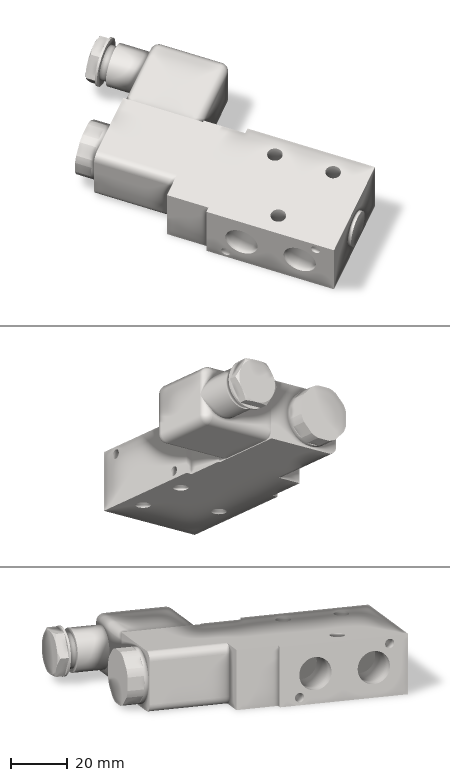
import cadquery as cq
import math


knob_face_x = 11.4
grip_flat_end_x = 17.5
coil_start_x = 19.2
adapter_start_x = 49.1
block_start_x = 64.8
block_end_x = 112.7
end_boss_height = 1.3

thickness = 22.0
block_width = 40.0
adapter_front_y = -18.0
adapter_back_y = 17.8
coil_front_y = -11.3
coil_back_y = 17.1
edge_round = 3.1

knob_radius = 10.1
grip_flat_count = 8
grip_flat_width = 4.9
end_boss_radius = 6.6

port_radius = 6.0
port_depth = 14.8
port_pitch = 21.9
port_middle_x = 88.9
mount_hole_radius = 2.7
mount_hole_y = 12.5
pin_hole_radius = 1.7
pin_hole_pitch = 33.7
pin_hole_z = 8.2

connector_start_x = 19.5
connector_end_x = 48.5
connector_thickness = 21.4
connector_back_y = 45.9
gland_radius = 8.0
gland_y = connector_back_y - gland_radius
gland_start_x = 7.6
neck_radius = 6.5
flange_radius = 9.0
flange_start_x = 3.9
flange_end_x = 4.7
nut_across_flats = 15.7
nut_face_radius = 7.9
nut_chamfer_angle = 30.0


def box_between(x_start, x_end, y_front, y_back, height):
    """Box between two X and two Y positions, centred on Z = 0."""
    length = x_end - x_start
    width = y_back - y_front
    box = cq.Workplane("XY").box(length, width, height, centered=(False, False, True))
    return box.translate((x_start, y_front, 0))


def cylinder_along_x(x_start, x_end, radius, y=0.0):
    """Cylinder parallel to X, at height Z = 0."""
    return cq.Workplane("YZ", origin=(x_start, y, 0)).circle(radius).extrude(x_end - x_start)


def make_knob():
    """Round knob with flats around its rim that stop short of the coil."""
    knob = cylinder_along_x(knob_face_x, coil_start_x, knob_radius)
    flat_distance = math.sqrt(knob_radius**2 - (grip_flat_width / 2) ** 2)
    for index in range(grip_flat_count):
        angle = index * 360 / grip_flat_count
        shaving = box_between(knob_face_x, grip_flat_end_x, flat_distance, knob_radius, grip_flat_width)
        knob = knob.cut(shaving.rotate((0, 0, 0), (1, 0, 0), angle))
    return knob


def make_coil():
    """Coil housing with its two long front edges rounded."""
    coil = box_between(coil_start_x, adapter_start_x, coil_front_y, coil_back_y, thickness)
    return coil.faces("<Y").edges("|X").fillet(edge_round)


def cut_block_holes(valve):
    """Blind ports in the front, mounting holes along Z, and pin holes along Y."""
    half_width = block_width / 2
    port_xs = [port_middle_x - port_pitch / 2, port_middle_x + port_pitch / 2]

    front = cq.Workplane("XZ", origin=(0, -half_width, 0))
    ports = front.pushPoints([(x, 0) for x in port_xs]).circle(port_radius).extrude(-port_depth)

    mount_points = [(x, mount_hole_y) for x in port_xs] + [(port_middle_x, -mount_hole_y)]
    underside = cq.Workplane("XY", origin=(0, 0, -thickness / 2))
    mount_holes = underside.pushPoints(mount_points).circle(mount_hole_radius).extrude(thickness)

    pin_points = [
        (port_middle_x - pin_hole_pitch / 2, -pin_hole_z),
        (port_middle_x + pin_hole_pitch / 2, pin_hole_z),
    ]
    pin_holes = front.pushPoints(pin_points).circle(pin_hole_radius).extrude(-block_width)

    return valve.cut(ports).cut(mount_holes).cut(pin_holes)


def make_valve():
    """Valve block, adapter, coil, knob and end boss as one solid."""
    valve = box_between(block_start_x, block_end_x, -block_width / 2, block_width / 2, thickness)
    valve = cut_block_holes(valve)
    valve = valve.union(
        box_between(adapter_start_x, block_start_x, adapter_front_y, adapter_back_y, thickness)
    )
    valve = valve.union(make_coil())
    valve = valve.union(make_knob())
    return valve.union(cylinder_along_x(block_end_x, block_end_x + end_boss_height, end_boss_radius))


def make_gland_nut():
    """Hexagonal nut with two flats facing +Z and -Z and its outer corners chamfered."""
    corner_radius = nut_across_flats / math.sqrt(3)
    chamfer_length = (corner_radius - nut_face_radius) * math.tan(math.radians(nut_chamfer_angle))
    hexagon = (
        cq.Workplane("YZ", origin=(0, gland_y, 0))
        .polygon(6, 2 * corner_radius)
        .extrude(flange_start_x)
    )
    chamfered_disc = (
        cylinder_along_x(0, flange_start_x, corner_radius, gland_y)
        .faces("<X")
        .chamfer(chamfer_length, corner_radius - nut_face_radius)
    )
    return hexagon.intersect(chamfered_disc)


def make_connector():
    """Plug housing standing on the back of the coil, with its cable gland and nut."""
    plug = box_between(
        connector_start_x, connector_end_x, coil_back_y, connector_back_y, connector_thickness
    )
    plug = plug.edges("|Y or >Y").fillet(edge_round)
    gland_end_x = connector_start_x + 2 * edge_round
    gland = cylinder_along_x(gland_start_x, gland_end_x, gland_radius, gland_y)
    neck = cylinder_along_x(flange_end_x, gland_start_x, neck_radius, gland_y)
    flange = cylinder_along_x(flange_start_x, flange_end_x, flange_radius, gland_y)
    return plug.union(gland).union(neck).union(flange).union(make_gland_nut())


valve = make_valve()
connector = make_connector()

result = cq.Compound.makeCompound([valve.val(), connector.val()])